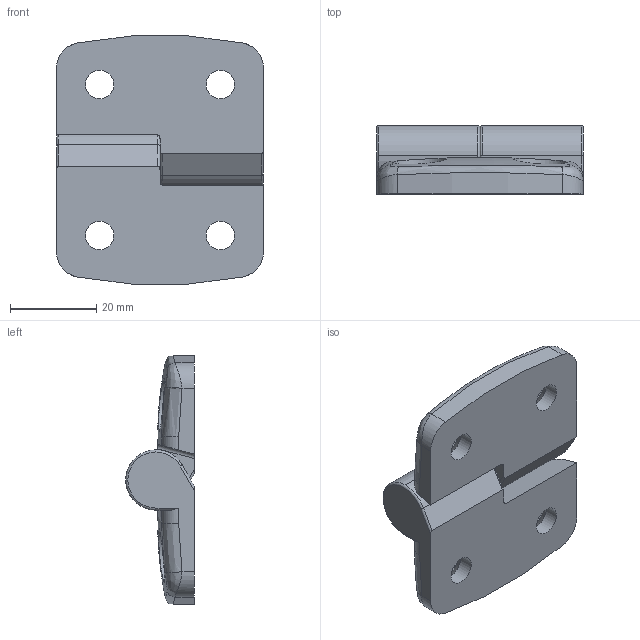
import cadquery as cq
import math


hinge_width = 48.0
half_width = hinge_width / 2
half_height = 29.0
end_arc_radius = 100.0
corner_radius = 6.0

dome_height = 8.5
dome_arc_start = 10.0
dome_profile_radius = 86.0
dome_cross_radius = 230.0
dome_axis_y = dome_height - dome_cross_radius
side_edge_fillet = 4.0
end_edge_fillet = 1.8

barrel_radius = 7.0
barrel_axis_y = 8.9
barrel_end_fillet = 0.5
barrel_root_fillet = 1.0
web_angle = 60.0

recess_edge = 6.0
recess_angle = 15.0
recess_corner_fillet = 1.0

hole_spacing_x = 28.0
hole_offset_z = 17.5
hole_diameter = 6.6
head_diameter = 12.4
seat_height = 3.4
seat_angle = 90.0

past = 1.0
tool_depth = 2 * dome_height
tolerance = 0.001


def plate_outline():
    """Plate edge below the axis: straight sides, rounded corners and a bowed end."""
    end_centre_z = end_arc_radius - half_height
    corner_x = half_width - corner_radius
    reach = end_arc_radius - corner_radius
    lean = math.asin(corner_x / reach)
    corner_z = end_centre_z - reach * math.cos(lean)
    tangent_x = corner_x + corner_radius * math.sin(lean)
    tangent_z = corner_z - corner_radius * math.cos(lean)
    middle_angle = (math.pi / 2 - lean) / 2
    middle_x = corner_x + corner_radius * math.cos(middle_angle)
    middle_z = corner_z - corner_radius * math.sin(middle_angle)
    return (
        cq.Workplane("XZ")
        .moveTo(-half_width, 0)
        .lineTo(-half_width, corner_z)
        .threePointArc((-middle_x, middle_z), (-tangent_x, tangent_z))
        .threePointArc((0, -half_height), (tangent_x, tangent_z))
        .threePointArc((middle_x, middle_z), (half_width, corner_z))
        .lineTo(half_width, 0)
        .close()
    )


def dome():
    """Body under the doubly curved back, turned about a line parallel to Z."""
    far_z = -half_height - past
    middle_z = (far_z - dome_arc_start) / 2

    def back_y(z):
        run = z + dome_arc_start
        return dome_height - dome_profile_radius + math.sqrt(dome_profile_radius**2 - run**2)

    turn = 2 * math.degrees(math.asin((half_width + past) / (dome_cross_radius - dome_height)))
    profile = (
        cq.Workplane("YZ")
        .moveTo(-past, 0)
        .lineTo(dome_height, 0)
        .lineTo(dome_height, -dome_arc_start)
        .threePointArc((back_y(middle_z), middle_z), (back_y(far_z), far_z))
        .lineTo(-past, far_z)
        .close()
    )
    turned = profile.revolve(turn, (dome_axis_y, 0, 0), (dome_axis_y, 1, 0))
    return turned.rotate((0, dome_axis_y, 0), (0, dome_axis_y, 1), -turn / 2)


def rounded_plate():
    """Domed plate with its back edge rounded: wide on the sides, narrowing round the corners to the end."""
    plate = plate_outline().extrude(-tool_depth).intersect(dome())
    corners = []
    sides = []
    ends = []
    for edge in plate.edges("(not |Y) and (not <Y)").vals():
        middle = edge.positionAt(0.5)
        if middle.z < tolerance - half_height:
            ends.append(edge)
        elif abs(middle.x) > half_width - tolerance:
            sides.append(edge)
        elif abs(middle.x) > tolerance:
            corners.append(edge)

    rounding = cq.occ_impl.shapes.BRepFilletAPI_MakeFillet(plate.val().wrapped)
    for edge in corners:
        starts_at_side = abs(edge.startPoint().x) > abs(edge.endPoint().x)
        if starts_at_side:
            rounding.Add(side_edge_fillet, end_edge_fillet, edge.wrapped)
        else:
            rounding.Add(end_edge_fillet, side_edge_fillet, edge.wrapped)
    for edge in ends:
        rounding.Add(end_edge_fillet, edge.wrapped)
    for edge in sides:
        rounding.Add(side_edge_fillet, edge.wrapped)
    return cq.Workplane(cq.Shape.cast(rounding.Shape()).Solids()[0])


def recess():
    """Clearance for the other barrel, under a sloping face with a rounded inner corner."""
    slope_drop = tool_depth * math.tan(math.radians(recess_angle))
    return (
        cq.Workplane("YZ")
        .moveTo(0, 0)
        .lineTo(0, -recess_edge)
        .lineTo(tool_depth, -recess_edge - slope_drop)
        .lineTo(tool_depth, 0)
        .close()
        .extrude(half_width)
        .faces("<Z")
        .edges("<X")
        .fillet(recess_corner_fillet)
    )


def barrel_seat():
    """Space on the barrel side, down to where the rounding of the barrel ends begins."""
    height = barrel_radius - barrel_end_fillet
    space = cq.Workplane("XY").box(half_width, tool_depth, height, centered=False)
    return space.translate((-half_width, 0, -height))


def barrel():
    """Barrel of half the hinge width with a web down to the mounting face, its ends rounded over."""
    web = math.radians(web_angle)
    tangent_y = barrel_axis_y - barrel_radius * math.sin(web)
    tangent_z = barrel_radius * math.cos(web)
    middle_y = barrel_axis_y - barrel_radius * math.sin(web / 2)
    middle_z = barrel_radius * math.cos(web / 2)
    web_foot_z = tangent_z - tangent_y * math.tan(web)
    return (
        cq.Workplane("YZ")
        .moveTo(0, -barrel_radius)
        .lineTo(barrel_axis_y, -barrel_radius)
        .threePointArc((barrel_axis_y + barrel_radius, 0), (barrel_axis_y, barrel_radius))
        .threePointArc((middle_y, middle_z), (tangent_y, tangent_z))
        .lineTo(0, web_foot_z)
        .close()
        .extrude(-half_width)
        .edges("<X or >X")
        .edges("not <Y")
        .fillet(barrel_end_fillet)
    )


def root_section(x, back_y):
    """Section of the concave fillet between the barrel and a plate back at the given height."""
    centre_y = dome_height + barrel_root_fillet
    offset_y = centre_y - barrel_axis_y
    span = barrel_radius + barrel_root_fillet
    lean = math.asin(offset_y / span)
    centre_z = -span * math.cos(lean)
    tangent_y = barrel_axis_y + barrel_radius * math.sin(lean)
    tangent_z = -barrel_radius * math.cos(lean)
    inner_z = barrel_end_fillet - barrel_radius
    middle_angle = (math.pi / 2 + lean) / 2
    shift = back_y - dome_height
    middle_y = centre_y - barrel_root_fillet * math.sin(middle_angle)
    middle_z = centre_z + barrel_root_fillet * math.cos(middle_angle)
    return (
        cq.Workplane("YZ", origin=(x, shift, 0))
        .moveTo(tangent_y, tangent_z)
        .threePointArc((middle_y, middle_z), (dome_height, centre_z))
        .lineTo(dome_height - barrel_root_fillet, centre_z)
        .lineTo(dome_height - barrel_root_fillet, inner_z)
        .lineTo(tangent_y, inner_z)
        .close()
    )


def barrel_root():
    """Concave fillet along the barrel, over the domed back and round the side edge of the plate."""
    edge_x = half_width - side_edge_fillet
    edge_turn = math.asin(edge_x / (dome_cross_radius - side_edge_fillet))
    edge_y = dome_axis_y + (dome_cross_radius - side_edge_fillet) * math.cos(edge_turn)
    edge_turn_degrees = math.degrees(edge_turn)

    section_axis_y = dome_height - side_edge_fillet
    over_back = root_section(0, dome_height).revolve(
        edge_turn_degrees, (dome_axis_y, 0, 0), (dome_axis_y, 1, 0)
    )
    round_side = (
        root_section(-edge_x, edge_y + side_edge_fillet)
        .revolve(90 - edge_turn_degrees, (section_axis_y, 0, 0), (section_axis_y, 1, 0))
        .rotate((-edge_x, edge_y, 0), (-edge_x, edge_y, 1), edge_turn_degrees)
    )
    reach = half_width - barrel_end_fillet
    limit = cq.Workplane("XY").box(reach, tool_depth, half_height, centered=False)
    limit = limit.translate((-reach, 0, -half_height))
    return over_back.union(round_side).intersect(limit)


def screw_hole():
    """Through hole with a conical screw seat that runs out to the domed back at full head size."""
    bore_radius = hole_diameter / 2
    head_radius = head_diameter / 2
    cone_depth = (head_radius - bore_radius) / math.tan(math.radians(seat_angle / 2))
    return (
        cq.Workplane("XY")
        .moveTo(0, -past)
        .lineTo(bore_radius, -past)
        .lineTo(bore_radius, seat_height)
        .lineTo(head_radius, seat_height + cone_depth)
        .lineTo(head_radius, tool_depth)
        .lineTo(0, tool_depth)
        .close()
        .revolve(360, (0, 0, 0), (0, 1, 0))
    )


def leaf():
    """Lower leaf: plate, barrel and screw holes as one solid."""
    body = rounded_plate().cut(recess()).cut(barrel_seat())
    body = body.union(barrel())
    body = body.union(barrel_root().cut(body))
    for side in (-1, 1):
        body = body.cut(screw_hole().translate((side * hole_spacing_x / 2, 0, -hole_offset_z)))
    return body


lower_leaf = leaf()
upper_leaf = lower_leaf.rotate((0, 0, 0), (0, 1, 0), 180)

result = cq.Compound.makeCompound([lower_leaf.solids().val(), upper_leaf.solids().val()])